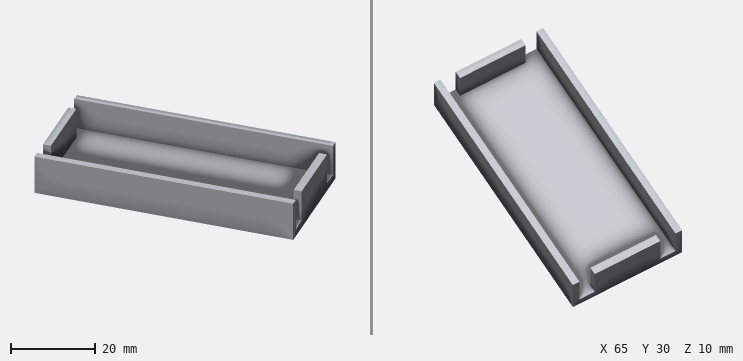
import cadquery as cq

length = 65.0
width = 30.0
height = 10.0

floor_thickness = 2.0
side_wall_thickness = 1.8
end_wall_thickness = 2.0
end_wall_width = 18.0

wall_height = height - floor_thickness


def wall(size_x, size_y, center_x, center_y):
    """Upright wall standing on the floor plate."""
    return (
        cq.Workplane("XY", origin=(center_x, center_y, floor_thickness))
        .box(size_x, size_y, wall_height, centered=(True, True, False))
    )


result = cq.Workplane("XY").box(length, width, floor_thickness, centered=(True, True, False))

side_wall_y = (width - side_wall_thickness) / 2
end_wall_x = (length - end_wall_thickness) / 2
for side in (-1, 1):
    result = result.union(wall(length, side_wall_thickness, 0, side * side_wall_y))
    result = result.union(wall(end_wall_thickness, end_wall_width, side * end_wall_x, 0))